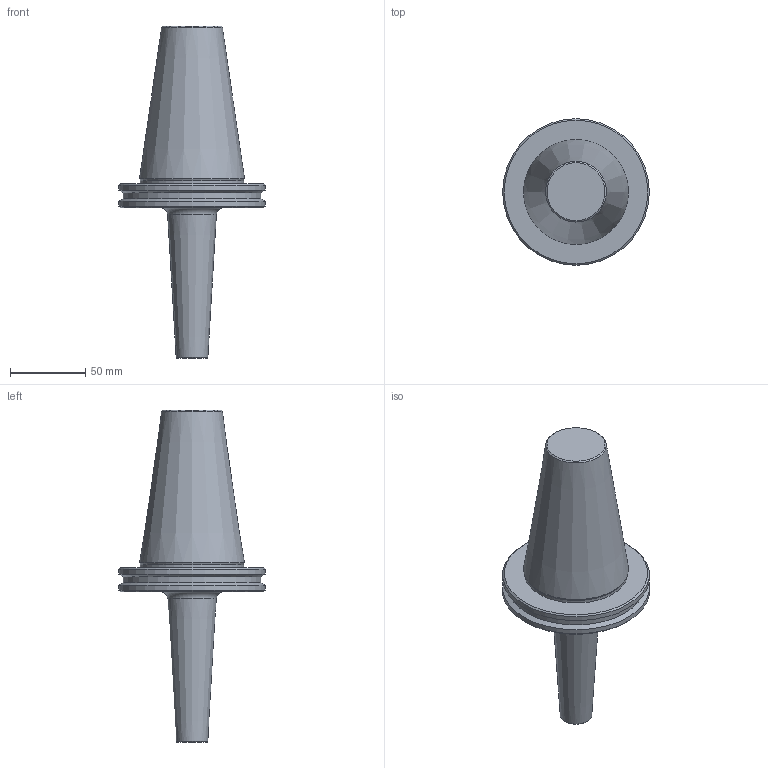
import cadquery as cq
import math

GAUGE_RADIUS = 69.85 / 2
TAPER_LENGTH = 101.75
TAPER_RATIO = 7 / 24
TIP_CHAMFER = 0.8
TIP_RADIUS = GAUGE_RADIUS - TAPER_LENGTH * TAPER_RATIO / 2

LAND_LENGTH = 1.2
NECK_RADIUS = 34.4

FLANGE_RADIUS = 97.5 / 2
FLANGE_TOP = -3.2
FLANGE_BOTTOM = -19.1
FLANGE_CHAMFER = 1.0
GROOVE_CENTRE = -11.1
GROOVE_FLOOR_RADIUS = 91.25 / 2
GROOVE_MOUTH_WIDTH = 7.5
GROOVE_FLANK_ANGLE = math.radians(30)
GROOVE_DEPTH = FLANGE_RADIUS - GROOVE_FLOOR_RADIUS
GROOVE_MOUTH_HALF = GROOVE_MOUTH_WIDTH / 2
GROOVE_FLOOR_HALF = GROOVE_MOUTH_HALF - GROOVE_DEPTH * math.tan(GROOVE_FLANK_ANGLE)

NOSE_LENGTH = 100.0
NOSE_END_RADIUS = 10.5
NOSE_ROOT_RADIUS = 16.5
NOSE_FILLET = 5.0
NOSE_END_CHAMFER = 0.4
NOSE_BOTTOM = FLANGE_BOTTOM - NOSE_LENGTH


def revolve_profile(points):
    """Revolve a closed (radius, height) outline about the Z axis."""
    profile = cq.Workplane("XZ").polyline(points).close()
    return profile.revolve(360, (0, 0, 0), (0, 1, 0))


def make_shank():
    shank = revolve_profile([
        (0, FLANGE_TOP),
        (NECK_RADIUS, FLANGE_TOP),
        (NECK_RADIUS, -LAND_LENGTH),
        (GAUGE_RADIUS, 0),
        (TIP_RADIUS, TAPER_LENGTH),
        (0, TAPER_LENGTH),
    ])
    return shank.faces(">Z").edges().chamfer(TIP_CHAMFER)


def make_flange():
    thickness = FLANGE_TOP - FLANGE_BOTTOM
    disc = cq.Workplane("XY").workplane(offset=FLANGE_BOTTOM).circle(FLANGE_RADIUS).extrude(thickness)
    disc = disc.faces("|Z").edges().chamfer(FLANGE_CHAMFER)
    groove = revolve_profile([
        (GROOVE_FLOOR_RADIUS, GROOVE_CENTRE - GROOVE_FLOOR_HALF),
        (FLANGE_RADIUS, GROOVE_CENTRE - GROOVE_MOUTH_HALF),
        (FLANGE_RADIUS, GROOVE_CENTRE + GROOVE_MOUTH_HALF),
        (GROOVE_FLOOR_RADIUS, GROOVE_CENTRE + GROOVE_FLOOR_HALF),
    ])
    return disc.cut(groove)


def make_nose():
    nose = revolve_profile([
        (0, NOSE_BOTTOM),
        (NOSE_END_RADIUS, NOSE_BOTTOM),
        (NOSE_ROOT_RADIUS, FLANGE_BOTTOM),
        (0, FLANGE_BOTTOM),
    ])
    return nose.faces("<Z").edges().chamfer(NOSE_END_CHAMFER)


def fillet_nose_root(body):
    """Round the inner corner where the nose meets the underside of the flange."""
    corner = cq.selectors.NearestToPointSelector((NOSE_ROOT_RADIUS, 0, FLANGE_BOTTOM))
    underside = body.faces(corner)
    return underside.edges(cq.selectors.RadiusNthSelector(0)).fillet(NOSE_FILLET)


lower_body = fillet_nose_root(make_flange().union(make_nose()))
result = lower_body.union(make_shank())